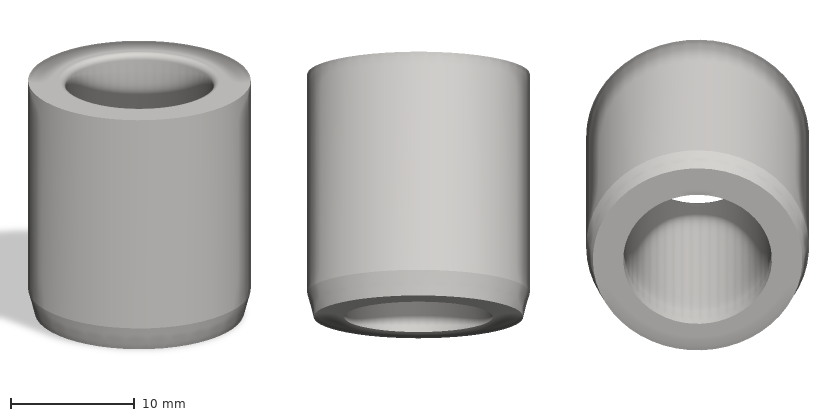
import cadquery as cq
import math

height = 20.0
outer_diameter = 18.0
bore_diameter = 12.0
lead_in_height = 2.0
lead_in_angle = 15.0
mouth_radius = 0.5

outer_radius = outer_diameter / 2
sleeve = cq.Workplane("XY").circle(outer_radius).extrude(height)

lead_in_depth = lead_in_height * math.tan(math.radians(lead_in_angle))
lead_in_cut = (
    cq.Workplane("XZ")
    .moveTo(outer_radius - lead_in_depth, 0)
    .lineTo(outer_radius, 0)
    .lineTo(outer_radius, lead_in_height)
    .close()
    .revolve(360, (0, 0), (0, 1))
)
sleeve = sleeve.cut(lead_in_cut)

bore = cq.Workplane("XY").circle(bore_diameter / 2).extrude(height)
sleeve = sleeve.cut(bore)
bore_mouth = sleeve.faces(">Z").edges(cq.selectors.RadiusNthSelector(0))
result = bore_mouth.fillet(mouth_radius)